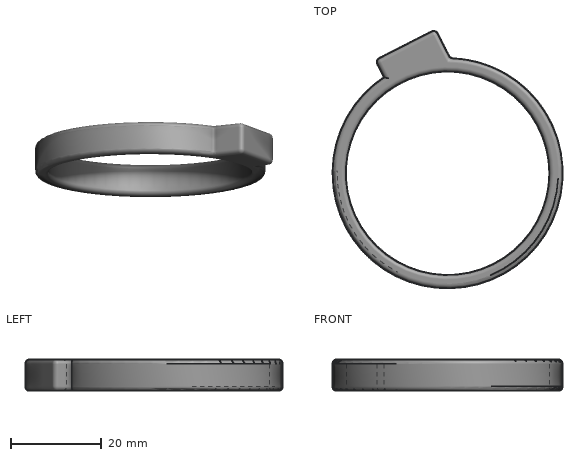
import cadquery as cq
import math

bore_diameter = 45.0
ring_wall = 3.0
ring_height = 7.0
edge_radius = 1.0
outer_diameter = bore_diameter + 2 * ring_wall

block_tilt = 27.0
block_reach = 29.6
block_start = -2.9
block_length = 15.0
corner_radius = 1.0

block_end = block_start + block_length
corner_angle = math.radians(block_tilt) + math.acos(block_end / (outer_diameter / 2))
corner_x = outer_diameter / 2 * math.cos(corner_angle)
corner_y = outer_diameter / 2 * math.sin(corner_angle)


def make_block():
    """Upright block, tilted about the ring axis, with rounded outer corners."""
    block = (
        cq.Workplane("XY")
        .box(block_length, block_reach, ring_height, centered=False)
        .edges("|Z and >Y")
        .fillet(edge_radius)
    )
    block = block.translate((block_start, 0, 0))
    return block.rotate((0, 0, 0), (0, 0, 1), block_tilt)


def make_ring():
    """Ring and block as one solid: rounded top and bottom outlines, then the corner blend."""
    disc = cq.Workplane("XY").circle(outer_diameter / 2).extrude(ring_height)
    body = disc.union(make_block())
    body = body.cut(cq.Workplane("XY").circle(bore_diameter / 2).extrude(ring_height))
    body = body.faces("<Z or >Z").edges().fillet(edge_radius)
    inner_corner = cq.selectors.NearestToPointSelector((corner_x, corner_y, ring_height / 2))
    return body.edges("|Z").edges(inner_corner).fillet(corner_radius)


ring = make_ring()

result = cq.Compound.makeCompound([ring.val()])